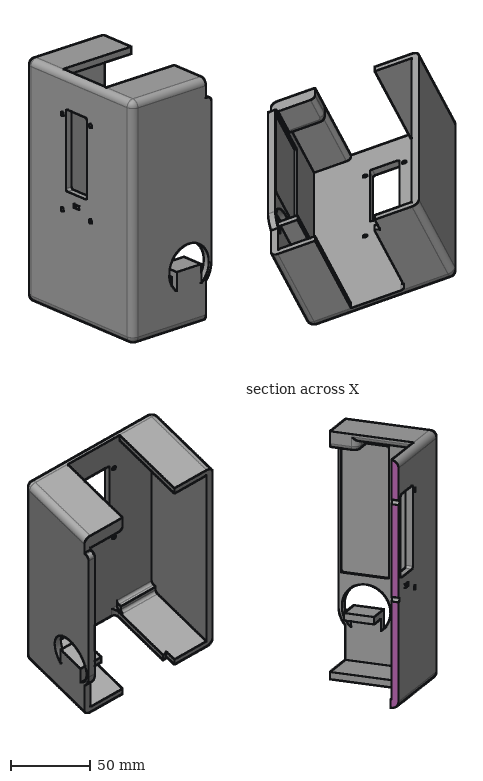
import cadquery as cq
WIDTH = 101.5
BODY_DEPTH = 61.7
TOTAL_DEPTH = 66.4
HEIGHT = 165.1
WALL = 5.0
EDGE_RADIUS = 4.8
INNER_WIDTH = WIDTH - 2 * WALL
RIGHT_WALL_INSIDE = WIDTH - WALL

SLOT_WIDTH = 41.0
SLOT_LEFT = (WIDTH - SLOT_WIDTH) / 2
SLOT_RIGHT = SLOT_LEFT + SLOT_WIDTH

OPENINGS_X = 48.2
WINDOW_WIDTH = 20.1
WINDOW_BOTTOM = 86.0
WINDOW_TOP = 141.5
WINDOW_CORNER_RADIUS = 1.5
SCREW_DIAMETER = 2.8
SCREW_SPACING = 26.9
SCREW_HEIGHTS = (72.5, 137.2)
SENSOR_WIDTH = 5.0
SENSOR_HEIGHT = 2.5
SENSOR_Z = 78.3

PLATE_WIDTH = 36.0
PLATE_RADIUS = PLATE_WIDTH / 2
PLATE_Y = TOTAL_DEPTH - PLATE_RADIUS
PLATE_TOP = 151.9
PLATE_ARC_Z = 40.0
PLATE_CORNER_RADIUS = 3.1
HOLE_DIAMETER = 33.0
HOLE_Y = 47.5
HOLE_Z = 40.3

TAB_BACK = 57.8
TAB_TOP = 40.3
TAB_THICKNESS = 5.0
TAB_INNER_END = 85.0
TAB_WIDTH = 2 * (TAB_BACK - HOLE_Y)

POCKET_SIDE_RIM = 1.7
POCKET_TOP_RIM = 1.2
POCKET_BOTTOM = 62.7
POCKET_TOP = PLATE_TOP - POCKET_TOP_RIM
POCKET_DEPTH = 1.5
POCKET_CORNER_RADIUS = 1.0

BLOCK_THICKNESS = 6.5
BLOCK_FRONT = 42.3
BLOCK_CORNER_RADIUS = 4.8
LOWER_EDGE_RADIUS = 3.1

TONGUE_RIGHT = 33.7
TONGUE_BACK = 54.5
TONGUE_BACK_RADIUS = 4.8
TONGUE_BACK_DROP = 1.3
ROOT_RADIUS = 2.0
FLARE_RADIUS = 3.1

STEP_RIGHT = 32.5
STEP_BACK = 9.0
STEP_HEIGHT = 5.0


def box(x_range, y_range, z_range):
    """Axis-aligned block between the given limits."""
    (x0, x1), (y0, y1), (z0, z1) = x_range, y_range, z_range
    return cq.Workplane("XY").box(x1 - x0, y1 - y0, z1 - z0, centered=False).translate((x0, y0, z0))


def make_shell():
    outside = box((0, WIDTH), (0, BODY_DEPTH), (0, HEIGHT))
    outside = outside.edges("|Y").fillet(EDGE_RADIUS).faces("<Y").edges().fillet(EDGE_RADIUS)
    cavity = box((WALL, RIGHT_WALL_INSIDE), (WALL, BODY_DEPTH), (WALL, HEIGHT - WALL))
    slot = box((SLOT_LEFT, SLOT_RIGHT), (WALL, BODY_DEPTH), (0, HEIGHT))
    shell = outside.cut(cavity).cut(slot)
    slot_edge_middle = (SLOT_RIGHT, (WALL + BODY_DEPTH) / 2, HEIGHT - WALL)
    return shell.edges(cq.NearestToPointSelector(slot_edge_middle)).fillet(LOWER_EDGE_RADIUS)


def front_openings():
    window = box(
        (OPENINGS_X - WINDOW_WIDTH / 2, OPENINGS_X + WINDOW_WIDTH / 2),
        (0, WALL),
        (WINDOW_BOTTOM, WINDOW_TOP),
    ).edges("|Y").fillet(WINDOW_CORNER_RADIUS)
    sensor = box(
        (OPENINGS_X - SENSOR_WIDTH / 2, OPENINGS_X + SENSOR_WIDTH / 2),
        (0, WALL),
        (SENSOR_Z - SENSOR_HEIGHT / 2, SENSOR_Z + SENSOR_HEIGHT / 2),
    )
    screw_centres = [(OPENINGS_X + side * SCREW_SPACING / 2, z) for side in (-1, 1) for z in SCREW_HEIGHTS]
    screws = cq.Workplane("XZ").pushPoints(screw_centres).circle(SCREW_DIAMETER / 2).extrude(-WALL)
    return window.union(sensor).union(screws)


def side_plate():
    front = PLATE_Y - PLATE_RADIUS
    plate = (
        cq.Workplane("YZ", origin=(RIGHT_WALL_INSIDE, 0, 0))
        .moveTo(front, PLATE_TOP)
        .lineTo(front, PLATE_ARC_Z)
        .threePointArc((PLATE_Y, PLATE_ARC_Z - PLATE_RADIUS), (TOTAL_DEPTH, PLATE_ARC_Z))
        .lineTo(TOTAL_DEPTH, PLATE_TOP)
        .close()
        .extrude(WALL)
    )
    return plate.faces(">Z").edges("|X").fillet(PLATE_CORNER_RADIUS)


def tab_shelf():
    return box(
        (TAB_INNER_END, RIGHT_WALL_INSIDE),
        (TAB_BACK - TAB_WIDTH, TAB_BACK),
        (TAB_TOP - TAB_THICKNESS, TAB_TOP),
    )


def side_plate_cuts():
    hole_radius = HOLE_DIAMETER / 2
    hole = (
        cq.Workplane("YZ", origin=(RIGHT_WALL_INSIDE, 0, 0))
        .center(HOLE_Y, HOLE_Z)
        .circle(hole_radius)
        .extrude(WALL)
    )
    tab = box((RIGHT_WALL_INSIDE, WIDTH), (TAB_BACK - TAB_WIDTH, TAB_BACK), (HOLE_Z - hole_radius, TAB_TOP))
    half_pocket = PLATE_RADIUS - POCKET_SIDE_RIM
    pocket = box(
        (RIGHT_WALL_INSIDE, RIGHT_WALL_INSIDE + POCKET_DEPTH),
        (PLATE_Y - half_pocket, PLATE_Y + half_pocket),
        (POCKET_BOTTOM, POCKET_TOP),
    ).edges("|X").fillet(POCKET_CORNER_RADIUS)
    return hole.cut(tab).union(pocket)


def top_block():
    """Block reaching below the top wall, with its slot-side corner and lower edges rounded."""
    z_bottom = HEIGHT - WALL - BLOCK_THICKNESS
    block = box((SLOT_RIGHT, RIGHT_WALL_INSIDE), (BLOCK_FRONT, BODY_DEPTH), (z_bottom, HEIGHT))
    block = block.edges("|Z and <X and <Y").fillet(BLOCK_CORNER_RADIUS)
    return block.faces("<Z").edges("<X").fillet(LOWER_EDGE_RADIUS)


def foot_profile(back, z_bottom, z_top):
    """YZ outline of a ledge behind the front panel, with a concave blend up the panel."""
    return (
        cq.Workplane("YZ", origin=(WALL, 0, 0))
        .moveTo(WALL, z_bottom)
        .lineTo(back, z_bottom)
        .lineTo(back, z_top)
        .lineTo(WALL + ROOT_RADIUS, z_top)
        .radiusArc((WALL, z_top + ROOT_RADIUS), ROOT_RADIUS)
        .close()
    )


def bottom_tongue():
    plan = (
        cq.Workplane("XY")
        .moveTo(SLOT_LEFT, WALL)
        .lineTo(TONGUE_RIGHT + FLARE_RADIUS, WALL)
        .radiusArc((TONGUE_RIGHT, WALL + FLARE_RADIUS), FLARE_RADIUS)
        .lineTo(TONGUE_RIGHT, TONGUE_BACK)
        .radiusArc((SLOT_LEFT, TONGUE_BACK - TONGUE_BACK_DROP), -TONGUE_BACK_RADIUS)
        .close()
        .extrude(WALL + ROOT_RADIUS)
    )
    return foot_profile(TONGUE_BACK, 0, WALL).extrude(INNER_WIDTH).intersect(plan)


def front_step():
    """Ledge on the bottom wall, blended into the wall at its back edge."""
    z_top = WALL + STEP_HEIGHT
    length = STEP_RIGHT - WALL
    base_blend = (
        cq.Workplane("YZ", origin=(WALL, 0, 0))
        .moveTo(STEP_BACK, WALL)
        .lineTo(STEP_BACK + ROOT_RADIUS, WALL)
        .radiusArc((STEP_BACK, WALL + ROOT_RADIUS), ROOT_RADIUS)
        .close()
        .extrude(length)
    )
    return foot_profile(STEP_BACK, WALL, z_top).extrude(length).union(base_blend)


result = make_shell()
for feature in (side_plate(), tab_shelf(), top_block(), bottom_tongue(), front_step()):
    result = result.union(feature)
result = result.cut(front_openings()).cut(side_plate_cuts())